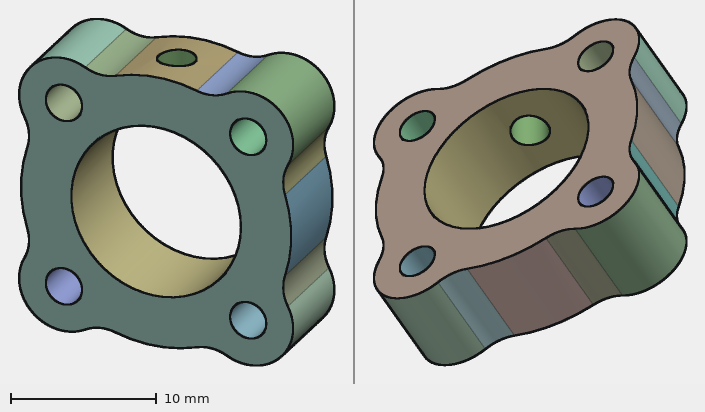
import cadquery as cq
import math

outer_size = 20.57
thickness = 7.0
lobe_radius = 3.37
body_radius = 10.15
blend_radius = 2.92
bore_radius = 6.35
hole_radius = 1.35

lobe_offset = outer_size / 2 - lobe_radius
hole_spacing = 2 * lobe_offset

back_origin = (0, thickness / 2, 0)


def polar(radius, angle):
    """Point at a given radius and angle (radians) from the part axis."""
    return (radius * math.cos(angle), radius * math.sin(angle))


def toward(start, end, distance):
    """Point a given distance from start on the way to end."""
    length = math.dist(start, end)
    return tuple(s + (e - s) * distance / length for s, e in zip(start, end))


def flange_outline():
    """Round body with four corner lobes, blended by tangent concave arcs."""
    lobe_distance = math.hypot(lobe_offset, lobe_offset)
    blend_distance = body_radius + blend_radius
    lobe_to_blend = lobe_radius + blend_radius
    blend_angle = math.acos(
        (lobe_distance**2 + blend_distance**2 - lobe_to_blend**2)
        / (2 * lobe_distance * blend_distance)
    )
    quarter_turn = math.pi / 2
    outline_start = polar(body_radius, quarter_turn / 2 - blend_angle)
    outline = cq.Workplane("XZ", origin=back_origin).moveTo(*outline_start)

    for corner in range(4):
        lobe_angle = quarter_turn * (corner + 0.5)
        lobe_centre = polar(lobe_distance, lobe_angle)
        entry_blend = polar(blend_distance, lobe_angle - blend_angle)
        exit_blend = polar(blend_distance, lobe_angle + blend_angle)
        lobe_start = toward(lobe_centre, entry_blend, lobe_radius)
        lobe_tip = polar(lobe_distance + lobe_radius, lobe_angle)
        lobe_end = toward(lobe_centre, exit_blend, lobe_radius)
        body_start = polar(body_radius, lobe_angle + blend_angle)
        body_middle = polar(body_radius, lobe_angle + quarter_turn / 2)
        body_end = polar(body_radius, lobe_angle + quarter_turn - blend_angle)

        entry_middle = blend_middle(entry_blend, polar(body_radius, lobe_angle - blend_angle), lobe_start)
        exit_middle = blend_middle(exit_blend, lobe_end, body_start)
        outline = (
            outline.threePointArc(entry_middle, lobe_start)
            .threePointArc(lobe_tip, lobe_end)
            .threePointArc(exit_middle, body_start)
            .threePointArc(body_middle, body_end)
        )
    return outline.close()


def blend_middle(centre, start, end):
    """Midpoint of a blend arc between its two tangent points."""
    chord_middle = ((start[0] + end[0]) / 2, (start[1] + end[1]) / 2)
    return toward(centre, chord_middle, blend_radius)


flange = flange_outline().extrude(thickness)

bore = cq.Workplane("XZ", origin=back_origin).circle(bore_radius).extrude(thickness)
bolt_holes = (
    cq.Workplane("XZ", origin=back_origin)
    .rect(hole_spacing, hole_spacing, forConstruction=True)
    .vertices()
    .circle(hole_radius)
    .extrude(thickness)
)

radial_hole = cq.Workplane("XY").circle(hole_radius).extrude(outer_size / 2)

result = flange.cut(bore).cut(bolt_holes).cut(radial_hole)